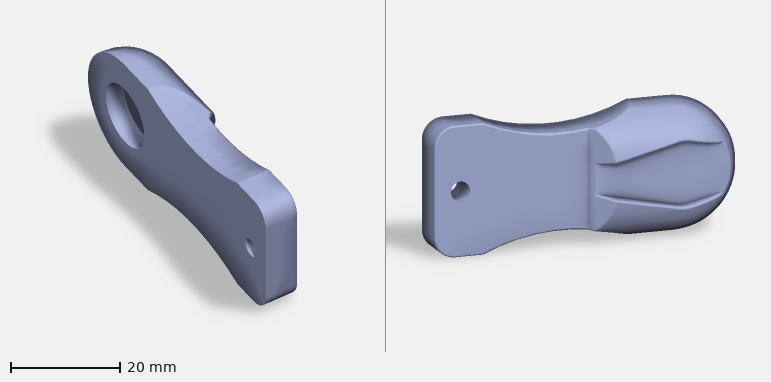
import cadquery as cq
import math

LENGTH = 60.0
WIDTH = 25.0
HALF_WIDTH = WIDTH / 2
HEAD_X = HALF_WIDTH
WAIST_MID_X = 35.35
WAIST_HALF_LENGTH = 15.1
WAIST_DEPTH = 3.2
TAIL_CORNER_RADIUS = 4.0

PLATE_THICKNESS = 7.0
HEAD_THICKNESS = 11.0
DOME_RADIUS = 10.0
RAMP_FOOT_X = 30.1
RIM_RADIUS = 0.4

CHANNEL_FLOOR_Y = 8.0
CHANNEL_RADIUS = 6.15
CHANNEL_TAPER = math.radians(12.0)
CHANNEL_HALF_LENGTH = 20.0

MAGNET_DIAMETER = 13.0
MAGNET_DEPTH = 4.0
CORD_DIAMETER = 3.7
CORD_INSET = 5.0

TOLERANCE = 0.01


def on_plane(y):
    """Workplane at height y whose local axes are X and Z; extruding by -d moves d along +Y."""
    return cq.Workplane("XZ", origin=(0, y, 0))


def handle_blank():
    waist_start = WAIST_MID_X - WAIST_HALF_LENGTH
    waist_end = WAIST_MID_X + WAIST_HALF_LENGTH
    waist_z = HALF_WIDTH - WAIST_DEPTH
    blank = (
        on_plane(0)
        .moveTo(HEAD_X, HALF_WIDTH)
        .lineTo(waist_start, HALF_WIDTH)
        .threePointArc((WAIST_MID_X, waist_z), (waist_end, HALF_WIDTH))
        .lineTo(LENGTH, HALF_WIDTH)
        .lineTo(LENGTH, -HALF_WIDTH)
        .lineTo(waist_end, -HALF_WIDTH)
        .threePointArc((WAIST_MID_X, -waist_z), (waist_start, -HALF_WIDTH))
        .lineTo(HEAD_X, -HALF_WIDTH)
        .threePointArc((0, 0), (HEAD_X, HALF_WIDTH))
        .close()
        .extrude(-HEAD_THICKNESS)
    )
    return blank.edges("|Y and >X").fillet(TAIL_CORNER_RADIUS)


def dome_envelope():
    """Bar with rounded long edges and a matching revolved end, which shapes the head."""
    dome_foot_y = HEAD_THICKNESS - DOME_RADIUS
    flat_half_width = HALF_WIDTH - DOME_RADIUS
    arc_run = DOME_RADIUS * math.sqrt(0.5)
    profile = (
        cq.Workplane("XY", origin=(HEAD_X, 0, 0))
        .lineTo(HALF_WIDTH, 0)
        .lineTo(HALF_WIDTH, dome_foot_y)
        .threePointArc(
            (flat_half_width + arc_run, dome_foot_y + arc_run),
            (flat_half_width, HEAD_THICKNESS),
        )
        .lineTo(0, HEAD_THICKNESS)
        .close()
    )
    round_end = profile.revolve(360, (0, 0, 0), (0, 1, 0))
    bar = (
        cq.Workplane("YZ", origin=(HEAD_X, 0, 0))
        .moveTo(0, -HALF_WIDTH)
        .lineTo(dome_foot_y, -HALF_WIDTH)
        .threePointArc(
            (dome_foot_y + arc_run, -flat_half_width - arc_run),
            (HEAD_THICKNESS, -flat_half_width),
        )
        .lineTo(HEAD_THICKNESS, flat_half_width)
        .threePointArc(
            (dome_foot_y + arc_run, flat_half_width + arc_run),
            (dome_foot_y, HALF_WIDTH),
        )
        .lineTo(0, HALF_WIDTH)
        .close()
        .extrude(LENGTH)
    )
    return round_end.union(bar)


def side_profile(points):
    """Full-width block with the given outline in the XY plane."""
    return cq.Workplane("XY").polyline(points).close().extrude(HALF_WIDTH, both=True)


def channel():
    """Cutter for the channel: a rounded middle with walls closing in towards both ends."""
    tangent_x = CHANNEL_RADIUS * math.sin(CHANNEL_TAPER)
    tangent_z = CHANNEL_RADIUS * math.cos(CHANNEL_TAPER)
    end_z = CHANNEL_RADIUS / math.cos(CHANNEL_TAPER) - CHANNEL_HALF_LENGTH * math.tan(CHANNEL_TAPER)
    return (
        cq.Workplane("XZ", origin=(HEAD_X, CHANNEL_FLOOR_Y, 0))
        .moveTo(-CHANNEL_HALF_LENGTH, end_z)
        .lineTo(-tangent_x, tangent_z)
        .threePointArc((0, CHANNEL_RADIUS), (tangent_x, tangent_z))
        .lineTo(CHANNEL_HALF_LENGTH, end_z)
        .lineTo(CHANNEL_HALF_LENGTH, -end_z)
        .lineTo(tangent_x, -tangent_z)
        .threePointArc((0, -CHANNEL_RADIUS), (-tangent_x, -tangent_z))
        .lineTo(-CHANNEL_HALF_LENGTH, -end_z)
        .close()
        .extrude(-HEAD_THICKNESS)
    )


def round_hole(x, diameter, depth):
    return on_plane(0).center(x, 0).circle(diameter / 2).extrude(-depth)


def rounded_rim(body):
    """Round the outer edges of the plate, ramp and channel; edges inside a corner stay sharp."""
    rim = []
    for edge in body.edges("not |Y").vals():
        middle = edge.Center()
        on_upper_side = edge.BoundingBox().ymin > PLATE_THICKNESS - TOLERANCE
        ramp_foot = abs(middle.x - RAMP_FOOT_X) < TOLERANCE
        at_floor = abs(middle.y - CHANNEL_FLOOR_Y) < TOLERANCE
        channel_wall_foot = at_floor and abs(middle.z) > TOLERANCE
        if on_upper_side and not ramp_foot and not channel_wall_foot:
            rim.append(edge)
    return body.newObject(rim).fillet(RIM_RADIUS)


blank = handle_blank()
ramp_top_x = RAMP_FOOT_X - (HEAD_THICKNESS - PLATE_THICKNESS)
head_side = side_profile([
    (0, 0),
    (RAMP_FOOT_X, 0),
    (RAMP_FOOT_X, PLATE_THICKNESS),
    (ramp_top_x, HEAD_THICKNESS),
    (0, HEAD_THICKNESS),
])
tail_side = side_profile([
    (RAMP_FOOT_X, 0),
    (LENGTH, 0),
    (LENGTH, PLATE_THICKNESS),
    (RAMP_FOOT_X, PLATE_THICKNESS),
])
head = blank.intersect(head_side).intersect(dome_envelope())
tail = blank.intersect(tail_side)

result = rounded_rim(head.union(tail).cut(channel()))
result = result.cut(round_hole(HEAD_X, MAGNET_DIAMETER, MAGNET_DEPTH))
result = result.cut(round_hole(LENGTH - CORD_INSET, CORD_DIAMETER, PLATE_THICKNESS))